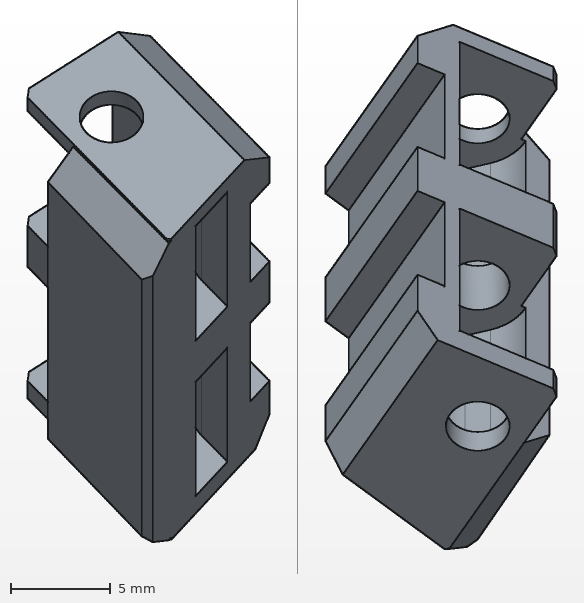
import math

import cadquery as cq

height = 25.34
body_depth = 8.16
back_width = 9.68
slant_angle = math.radians(15)
corner_chamfer = 0.4
slant_corner_chamfer = 0.2

plate_left = 4.1
plate_thickness = 1.7
plate_taper = 0.08
plate_root = 0.4
plate_end_gap = 0.16
plate_corner_chamfer = 0.4

top_bevel = 2.04
bottom_bevel_depth = 1.15
bottom_bevel_height = 1.65
notch_depth = 1.55
notch_height = 6.6

rib_bottom = 11.08
rib_top = 14.54
window_bottom = 1.47
window_top = 24.2

mouth_back = 5.75
mouth_front = -0.25
neck_back = 4.75
neck_front = 2.16
back_neck_start = 8.45
mouth_radius = 3.0
neck_radius = 2.0
front_ramp_angle = math.radians(45)

hole_diameter = 3.2
hole_x = 3.97
hole_y = 2.56

margin = 1.0


def slant_x(y):
    """X of the slanted side at a given Y."""
    return back_width + (body_depth - y) * math.tan(slant_angle)


def prism_z(points, bottom, top):
    return cq.Workplane("XY").workplane(offset=bottom).polyline(points).close().extrude(top - bottom)


def prism_x(points):
    """Extrude a (Y, Z) outline across the whole part in X."""
    length = slant_x(-plate_thickness) + 2 * margin
    return cq.Workplane("YZ").workplane(offset=-margin).polyline(points).close().extrude(length)


def make_body():
    front_right = slant_x(0)
    body = prism_z([(0, 0), (front_right, 0), (back_width, body_depth), (0, body_depth)], 0, height)
    body = body.edges(cq.selectors.NearestToPointSelector((0, 0, height / 2))).chamfer(corner_chamfer)
    slant_corner = cq.selectors.NearestToPointSelector((front_right, 0, height / 2))
    body = body.edges(slant_corner).chamfer(slant_corner_chamfer)
    back_profile = [
        (-margin, 0),
        (body_depth - bottom_bevel_depth, 0),
        (body_depth, bottom_bevel_height),
        (body_depth, height - top_bevel),
        (body_depth - top_bevel, height),
        (-margin, height),
    ]
    return body.intersect(prism_x(back_profile))


def make_plate():
    """Slightly tapered plate with 45 degree bevels at both ends, rooted a little inside the body."""
    root = plate_root
    chamfer_y = plate_corner_chamfer - plate_thickness
    chamfer_right = slant_x(chamfer_y)
    outline = [
        (plate_left, root),
        (plate_left, -plate_thickness),
        (chamfer_right - plate_corner_chamfer, -plate_thickness),
        (chamfer_right, chamfer_y),
        (slant_x(root), root),
    ]
    plate = prism_z(outline, 0, height)
    bevel_end = plate_end_gap + plate_thickness
    end_profile = [
        (root, plate_end_gap),
        (0, plate_end_gap),
        (-plate_thickness, bevel_end),
        (-plate_thickness, height - bevel_end),
        (0, height - plate_end_gap),
        (root, height - plate_end_gap),
    ]
    pivot_x = chamfer_right - plate_corner_chamfer
    lean = math.degrees(math.atan2(plate_taper, pivot_x - plate_left))
    pivot_bottom = (pivot_x, -plate_thickness, 0)
    pivot_top = (pivot_x, -plate_thickness, height)
    return plate.intersect(prism_x(end_profile).rotate(pivot_bottom, pivot_top, -lean))


def arc_point(center, radius, angle):
    return (center[0] + radius * math.sin(angle), center[1] + radius * math.cos(angle))


def make_window(bottom, top):
    """Pocket through X whose two sides swing in from the mouth to the neck in S-curves."""
    back_angle = math.acos(1 - (mouth_back - neck_back) / (mouth_radius + neck_radius))
    back_start = back_neck_start - (mouth_radius + neck_radius) * math.sin(back_angle)
    back_mouth_center = (back_start, mouth_back - mouth_radius)
    back_neck_center = (back_neck_start, neck_back + neck_radius)

    arcs_rise = (mouth_radius + neck_radius) * (1 - math.cos(front_ramp_angle))
    ramp_rise = neck_front - mouth_front - arcs_rise
    ramp_run = ramp_rise / math.tan(front_ramp_angle)
    arcs_run = (mouth_radius + neck_radius) * math.sin(front_ramp_angle)
    front_start = plate_left
    front_neck_start = front_start + arcs_run + ramp_run
    front_mouth_center = (front_start, mouth_front + mouth_radius)
    front_neck_center = (front_neck_start, neck_front - neck_radius)

    neck_end = slant_x(0) + margin
    return (
        cq.Workplane("XY")
        .workplane(offset=bottom)
        .moveTo(-margin, mouth_back)
        .lineTo(back_start, mouth_back)
        .threePointArc(
            arc_point(back_mouth_center, mouth_radius, back_angle / 2),
            arc_point(back_mouth_center, mouth_radius, back_angle),
        )
        .threePointArc(
            arc_point(back_neck_center, -neck_radius, back_angle / 2),
            (back_neck_start, neck_back),
        )
        .lineTo(neck_end, neck_back)
        .lineTo(neck_end, neck_front)
        .lineTo(front_neck_start, neck_front)
        .threePointArc(
            arc_point(front_neck_center, neck_radius, -front_ramp_angle / 2),
            arc_point(front_neck_center, neck_radius, -front_ramp_angle),
        )
        .lineTo(*arc_point(front_mouth_center, -mouth_radius, -front_ramp_angle))
        .threePointArc(
            arc_point(front_mouth_center, -mouth_radius, -front_ramp_angle / 2),
            (front_start, mouth_front),
        )
        .lineTo(-margin, mouth_front)
        .close()
        .extrude(top - bottom)
    )


def make_notch(bottom):
    inner = body_depth - notch_depth
    outer = body_depth + margin
    top = bottom + notch_height
    return prism_x([(inner, bottom), (outer, bottom), (outer, top), (inner, top)])


result = make_body().union(make_plate())
for window_range in [(window_bottom, rib_bottom), (rib_top, window_top)]:
    result = result.cut(make_window(*window_range))
for notch_bottom in [rib_bottom - notch_height, rib_top]:
    result = result.cut(make_notch(notch_bottom))
pin_hole = cq.Workplane("XY").center(hole_x, hole_y).circle(hole_diameter / 2).extrude(height)
result = result.cut(pin_hole)